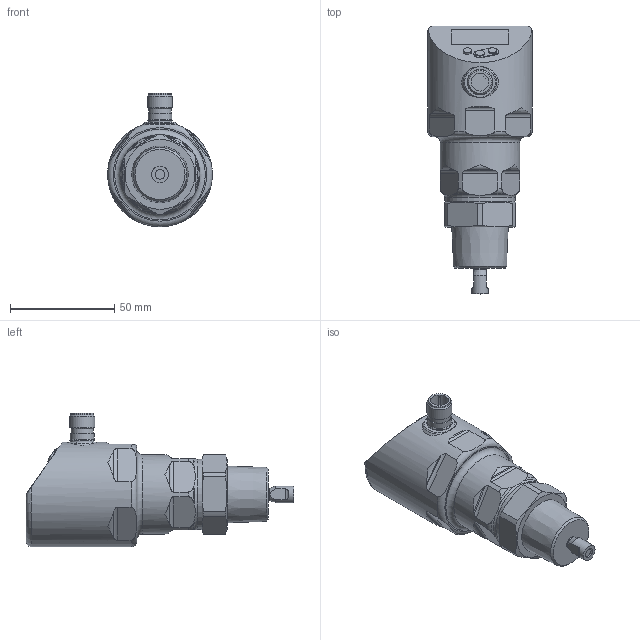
import cadquery as cq
import math


housing_radius = 25.05
housing_length = 53.0
housing_edge_radius = 2.7
face_angle = 55.0

neck_radius = 19.0
neck_root_radius = 2.7
neck_shoulder_station = 77.7
shoulder_convex_radius = 3.25
shoulder_concave_radius = 1.6
groove_radius = 16.8

nut_station = 84.2
nut_length = 12.0
nut_half_flats = 17.05
nut_corner_radius = 19.0
nut_chamfer_radius = 16.7
nut_chamfer_length = 0.7

thread_start_radius = 13.55
thread_end_radius = 12.9
thread_end_station = 116.0
thread_chamfer = 0.9

runout_slope = math.radians(45)
runout_convex_radius = 3.5
housing_runout_radius = 2.5
narrow_runout_radius = 2.0
housing_flat_height = 23.0
housing_flat_station = 43.7
housing_flat_angles = (52.5, -52.5, 127.5, -127.5)
top_flat_height = 24.0
top_flat_station = 40.3
neck_flat_height = 17.0
neck_flat_station = 70.7
neck_flat_end = nut_station - 1.0
neck_flat_count = 6

probe_radius = 4.0
probe_stem_radius = 3.0
probe_cone_station = 116.6
probe_cone_end = 119.4
probe_end = 128.25
probe_flat_offset = 3.0
probe_flat_end = 124.1
probe_flat_runout = 1.8
probe_hole_radius = 2.3
probe_hole_depth = 1.0

plug_station = 26.9
plug_top = 38.85
plug_thread_radius = 6.0
plug_thread_top = 37.4
plug_rim_bottom = 38.1
plug_rim_radius = 5.4
plug_thread_bottom = 31.8
plug_groove_radius = 5.35
plug_groove_top = 31.5
plug_groove_bottom = 29.2
plug_body_radius = 5.7
plug_flange_radius = 6.1
plug_flange_top = 26.4
plug_flange_bottom = 25.6
socket_radius = 4.3
socket_depth = 9.0
socket_key_width = 1.2
socket_key_reach = 1.2
socket_key_drop = 0.6
socket_key_angle = 45.0
boss_top = 25.07
boss_top_radius = 7.35
boss_rim_radius = 7.95
boss_rim_height = 24.55
boss_root_radius = 9.3
boss_root_height = 22.75

window_width = 27.7
window_height = 12.4
window_center = 9.4
window_depth = 0.1
button_radius = 2.05
button_height = 0.9
button_spacing = 6.05
outer_button_center = 21.7
middle_button_center = 23.8
pad_radius = 2.9
pad_height = 0.4


def axial_profile():
    """Sketch in the upper half of the YZ plane: local x is the radius, local y runs along Y."""
    return cq.Workplane(cq.Plane(origin=(0, 0, 0), xDir=(0, 0, 1), normal=(-1, 0, 0)))


def revolved(profile):
    return profile.close().revolve(360, (0, 0, 0), (0, 1, 0))


def arc_run(radius):
    """Axial length of an arc that turns from the axial direction to the run-out slope."""
    return radius * math.sin(runout_slope)


def arc_rise(radius):
    """Radial height of an arc that turns from the axial direction to the run-out slope."""
    return radius * (1 - math.cos(runout_slope))


def make_body():
    front = -housing_length
    edge = housing_edge_radius
    root_start = (neck_radius + neck_root_radius, front)
    root_end = (neck_radius, front - neck_root_radius)

    shoulder_top = neck_radius - arc_rise(shoulder_convex_radius)
    shoulder_foot = groove_radius + arc_rise(shoulder_concave_radius)
    wall_start = -neck_shoulder_station - arc_run(shoulder_convex_radius)
    wall_end = wall_start - (shoulder_top - shoulder_foot) / math.tan(runout_slope)
    groove_start = wall_end - arc_run(shoulder_concave_radius)
    nut_middle = -nut_station - nut_length / 2

    profile = (
        axial_profile()
        .lineTo(housing_radius - edge, 0)
        .radiusArc((housing_radius, -edge), edge)
        .lineTo(housing_radius, front + edge)
        .radiusArc((housing_radius - edge, front), edge)
        .lineTo(*root_start)
        .radiusArc(root_end, -neck_root_radius)
        .lineTo(neck_radius, -neck_shoulder_station)
        .radiusArc((shoulder_top, wall_start), shoulder_convex_radius)
        .lineTo(shoulder_foot, wall_end)
        .radiusArc((groove_radius, groove_start), -shoulder_concave_radius)
        .lineTo(groove_radius, nut_middle)
        .lineTo(0, nut_middle)
    )
    return revolved(profile)


def flat_profile(height, floor_station, end_station, concave_radius):
    """Floor of a flat facing +Z and the concave arc at its display end."""
    arc_end = (-floor_station + arc_run(concave_radius), height + arc_rise(concave_radius))
    return (
        cq.Workplane("YZ")
        .moveTo(-end_station, height)
        .lineTo(-floor_station, height)
        .radiusArc(arc_end, -concave_radius)
    )


def flat_cutter(height, floor_station, end_station, outer_radius, concave_radius):
    """Cutter whose run-out is a concave arc, a sloping wall and a convex arc."""
    convex_start = outer_radius - arc_rise(runout_convex_radius)
    wall_rise = convex_start - height - arc_rise(concave_radius)
    convex_station = -floor_station + arc_run(concave_radius) + wall_rise / math.tan(runout_slope)
    top_station = convex_station + arc_run(runout_convex_radius)
    clear = outer_radius + 1
    return (
        flat_profile(height, floor_station, end_station, concave_radius)
        .lineTo(convex_station, convex_start)
        .radiusArc((top_station, outer_radius), runout_convex_radius)
        .lineTo(top_station, clear)
        .lineTo(-end_station, clear)
        .close()
        .extrude(outer_radius, both=True)
    )


def top_flat_cutter():
    """Cutter for the shallow flat on top of the housing; its sloping wall has a sharp edge."""
    clear = housing_radius + 1
    wall_rise = clear - top_flat_height - arc_rise(narrow_runout_radius)
    wall_end = -top_flat_station + arc_run(narrow_runout_radius) + wall_rise / math.tan(runout_slope)
    return (
        flat_profile(top_flat_height, top_flat_station, housing_length, narrow_runout_radius)
        .lineTo(wall_end, clear)
        .lineTo(-housing_length, clear)
        .close()
        .extrude(housing_radius, both=True)
    )


def cut_wrench_flats(body):
    housing_cutter = flat_cutter(
        housing_flat_height,
        housing_flat_station,
        housing_length,
        housing_radius,
        housing_runout_radius,
    )
    for angle in housing_flat_angles:
        body = body.cut(housing_cutter.rotate((0, 0, 0), (0, 1, 0), angle))
    body = body.cut(top_flat_cutter())

    neck_cutter = flat_cutter(
        neck_flat_height,
        neck_flat_station,
        neck_flat_end,
        neck_radius,
        narrow_runout_radius,
    )
    for index in range(neck_flat_count):
        angle = index * 360 / neck_flat_count
        body = body.cut(neck_cutter.rotate((0, 0, 0), (0, 1, 0), angle))
    return body


def make_nut():
    front = -nut_station - nut_length
    corner_diameter = 2 * nut_half_flats / math.cos(math.pi / 6)
    hexagon = (
        cq.Workplane("XZ", origin=(0, -nut_station, 0))
        .transformed(rotate=(0, 0, 90))
        .polygon(6, corner_diameter)
        .extrude(nut_length)
    )
    envelope = revolved(
        axial_profile()
        .moveTo(0, -nut_station)
        .lineTo(nut_chamfer_radius, -nut_station)
        .lineTo(nut_corner_radius, -nut_station - nut_chamfer_length)
        .lineTo(nut_corner_radius, front + nut_chamfer_length)
        .lineTo(nut_chamfer_radius, front)
        .lineTo(0, front)
    )
    return hexagon.intersect(envelope)


def make_thread():
    nut_front = -nut_station - nut_length
    return revolved(
        axial_profile()
        .moveTo(0, nut_front)
        .lineTo(thread_start_radius, nut_front)
        .lineTo(thread_end_radius, -thread_end_station + thread_chamfer)
        .lineTo(thread_end_radius - thread_chamfer, -thread_end_station)
        .lineTo(0, -thread_end_station)
    )


def probe_flat_cutter():
    """Cutter for the flat on the +X side, ending in a concave arc."""
    arc_end = (probe_flat_offset + probe_flat_runout, -probe_flat_end - probe_flat_runout)
    return (
        cq.Workplane("XY")
        .moveTo(probe_flat_offset, -probe_cone_station)
        .lineTo(probe_flat_offset, -probe_flat_end)
        .radiusArc(arc_end, -probe_flat_runout)
        .lineTo(arc_end[0], -probe_cone_station)
        .close()
        .extrude(probe_radius, both=True)
    )


def make_probe():
    probe = revolved(
        axial_profile()
        .moveTo(0, -thread_end_station)
        .lineTo(probe_stem_radius, -thread_end_station)
        .lineTo(probe_stem_radius, -probe_cone_station)
        .lineTo(probe_radius, -probe_cone_end)
        .lineTo(probe_radius, -probe_end)
        .lineTo(0, -probe_end)
    )
    flat = probe_flat_cutter()
    probe = probe.cut(flat).cut(flat.mirror("YZ"))
    hole = (
        cq.Workplane("XZ", origin=(0, -probe_end + probe_hole_depth, 0))
        .circle(probe_hole_radius)
        .extrude(probe_hole_depth)
    )
    return probe.cut(hole)


def face_plane():
    """Plane of the display face: it starts on the axis, with local y pointing down the face."""
    slope = math.radians(face_angle)
    normal = (0, math.sin(slope), math.cos(slope))
    return cq.Plane(origin=(0, 0, 0), xDir=(1, 0, 0), normal=normal)


def cut_display_face(body):
    cut_size = 4 * housing_radius
    body = body.cut(cq.Workplane(face_plane()).rect(cut_size, cut_size).extrude(cut_size))
    window = (
        cq.Workplane(face_plane())
        .center(0, -window_center)
        .rect(window_width, window_height)
        .extrude(-window_depth)
    )
    return body.cut(window)


def make_buttons():
    """Three buttons; the middle and right ones share a raised pad."""
    centers = [
        (-button_spacing, -outer_button_center),
        (0, -middle_button_center),
        (button_spacing, -outer_button_center),
    ]
    buttons = cq.Workplane(face_plane()).pushPoints(centers).circle(button_radius).extrude(button_height)
    rise = middle_button_center - outer_button_center
    pad_span = math.hypot(button_spacing, rise)
    pad_tilt = math.degrees(math.atan2(rise, button_spacing))
    pad = (
        cq.Workplane(face_plane())
        .center(button_spacing / 2, -(outer_button_center + middle_button_center) / 2)
        .slot2D(pad_span + 2 * pad_radius, 2 * pad_radius, pad_tilt)
        .extrude(pad_height)
    )
    return buttons.union(pad)


def make_plug():
    """Round plug with a flared boss, turned about its own axis parallel to Z."""
    profile = (
        cq.Workplane("XZ", origin=(0, -plug_station, 0))
        .moveTo(0, boss_root_height)
        .lineTo(boss_root_radius, boss_root_height)
        .lineTo(boss_rim_radius, boss_rim_height)
        .lineTo(boss_top_radius, boss_top)
        .lineTo(plug_body_radius, boss_top)
        .lineTo(plug_body_radius, plug_flange_bottom)
        .lineTo(plug_flange_radius, plug_flange_bottom)
        .lineTo(plug_body_radius, plug_flange_top)
        .lineTo(plug_body_radius, plug_groove_bottom)
        .lineTo(plug_groove_radius, plug_groove_bottom)
        .lineTo(plug_groove_radius, plug_groove_top)
        .lineTo(plug_thread_radius, plug_thread_bottom)
        .lineTo(plug_thread_radius, plug_thread_top)
        .lineTo(plug_rim_radius, plug_rim_bottom)
        .lineTo(plug_rim_radius, plug_top)
        .lineTo(0, plug_top)
        .close()
    )
    plug = profile.revolve(360, (0, 0, 0), (0, 1, 0))
    socket_floor = cq.Workplane("XY", origin=(0, -plug_station, plug_top - socket_depth))
    socket = socket_floor.circle(socket_radius).extrude(socket_depth)
    key = (
        socket_floor.transformed(rotate=(0, 0, socket_key_angle))
        .center(socket_radius, 0)
        .rect(2 * socket_key_reach, socket_key_width)
        .extrude(socket_depth - socket_key_drop)
    )
    return plug.cut(socket.cut(key))


body = cut_display_face(cut_wrench_flats(make_body()))
result = (
    body.union(make_nut())
    .union(make_thread())
    .union(make_probe())
    .union(make_buttons())
    .union(make_plug())
)